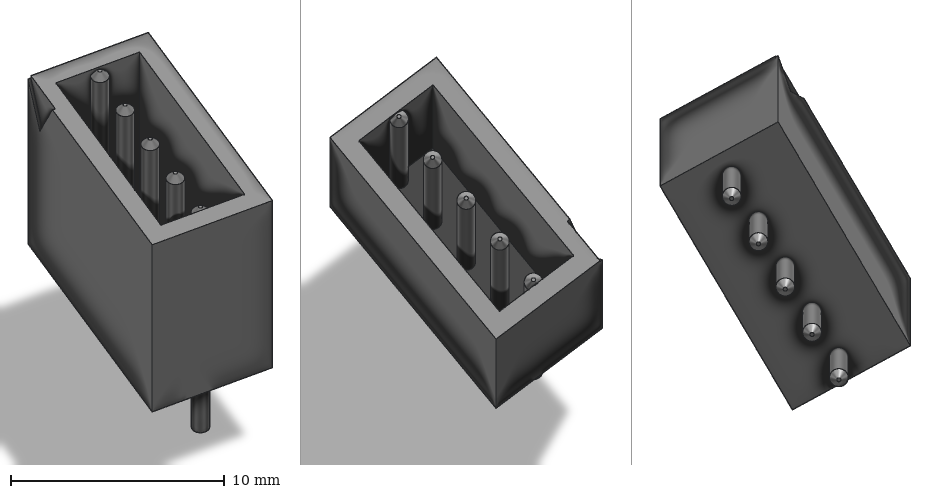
import cadquery as cq

housing_length = 12.55
housing_width = 6.35
housing_height = 11.04
pin_length = 14.86

wall = 0.97
floor_thickness = wall
cavity_length = housing_length - 2 * wall
cavity_width = housing_width - 2 * wall
cavity_depth = housing_height - floor_thickness

pin_count = 5
pin_pitch = 2.54
pin_diameter = 0.88
pin_radius = pin_diameter / 2
tip_diameter = 0.2
tip_radius = tip_diameter / 2
tip_height = 0.35
pin_top = housing_height
pin_bottom = pin_top - pin_length
pin_positions = [(i - (pin_count - 1) / 2) * pin_pitch for i in range(pin_count)]

mark_width = pin_pitch
mark_height = pin_pitch
mark_depth = 0.15


def make_pin(x):
    """Round pin along Z with a tapered, flat-ended tip at each end."""
    half_profile = [
        (0, pin_bottom),
        (tip_radius, pin_bottom),
        (pin_radius, pin_bottom + tip_height),
        (pin_radius, pin_top - tip_height),
        (tip_radius, pin_top),
        (0, pin_top),
    ]
    pin = cq.Workplane("XZ").polyline(half_profile).close().revolve(360, (0, 0), (0, 1))
    return pin.translate((x, 0, 0))


def make_mark():
    """Triangle pointing down at the first pin; its left corner runs off the housing."""
    center_x = pin_positions[0]
    outline = [
        (center_x - mark_width / 2, housing_height),
        (center_x + mark_width / 2, housing_height),
        (center_x, housing_height - mark_height),
    ]
    front_face = cq.Workplane("XZ", origin=(0, -housing_width / 2, 0))
    return front_face.polyline(outline).close().extrude(-mark_depth)


def make_housing(pins):
    """Open-topped box with the pin mark and a fitting seat for every pin."""
    body = cq.Workplane("XY").rect(housing_length, housing_width).extrude(housing_height)
    cavity = (
        cq.Workplane("XY", origin=(0, 0, floor_thickness))
        .rect(cavity_length, cavity_width)
        .extrude(cavity_depth)
    )
    body = body.cut(cavity).cut(make_mark())
    for pin in pins:
        body = body.cut(pin)
    return body


pins = [make_pin(x) for x in pin_positions]
housing = make_housing(pins)

result = cq.Compound.makeCompound([housing.val(), *[pin.val() for pin in pins]])